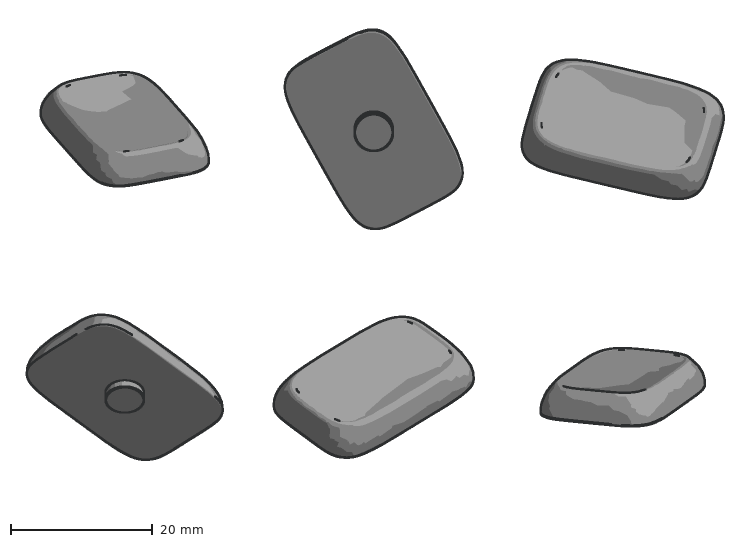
import cadquery as cq
import math

LENGTH = 26.97
WIDTH = 18.0
HEIGHT = 5.66

STEM_DIAMETER = 5.5
STEM_HEIGHT = 1.3
STEM_CHAMFER = 0.1

CAP_HEIGHT = HEIGHT - STEM_HEIGHT
BASE_EDGE = 0.27
DISH_EDGE_Z = 4.2
DISH_DEPTH = 0.73
CREASE_DIP = 0.15
CREST_DIP = 0.08

LOW_SIDE = (0.15, 1.62)
HIGH_SIDE = (0.55, 2.83)
CREASE = (1.21, 4.0)
CREST_INSET = 1.95

BASE_POWER = 5.3
SIDE_POWER = 4.7
CREASE_POWER = 4.0
CREST_POWER = 4.4
DISH_POWER = 5.0

CURVE_POINTS = 40
DISH_INSET = 2.48
DISH_RINGS = (0.3, 0.55, 0.8)
RING_POINTS = 16


def outline_point(angle, inset, z, power, dip=0.0):
    """Point of an inset superellipse that sags by dip at the middle of the long sides."""
    half_length = LENGTH / 2 - inset
    half_width = WIDTH / 2 - inset
    c = math.cos(angle)
    s = math.sin(angle)
    radius = (abs(c) ** power + abs(s) ** power) ** (-1 / power)
    x_share = radius * c
    y_share = radius * s
    sag = dip * (1 - x_share ** 2)
    return cq.Vector(half_length * x_share, half_width * y_share, z - sag)


def outline(inset, z, power, dip=0.0):
    """Closed smooth superellipse wire."""
    points = [
        outline_point(2 * math.pi * i / CURVE_POINTS, inset, z, power, dip)
        for i in range(CURVE_POINTS)
    ]
    return cq.Wire.assembleEdges([cq.Edge.makeSpline(points, periodic=True)])


def dish_face(border):
    """Concave top face: parabolic depth, measured inward from its border."""
    centre = cq.Vector(0, 0, DISH_EDGE_Z - DISH_DEPTH)
    points = [centre]
    for ring in DISH_RINGS:
        z = DISH_EDGE_Z - DISH_DEPTH * (1 - ring ** 2)
        for i in range(RING_POINTS):
            edge_point = outline_point(2 * math.pi * i / RING_POINTS, DISH_INSET, z, DISH_POWER)
            points.append(cq.Vector(edge_point.x * ring, edge_point.y * ring, z))
    return cq.Face.makeNSidedSurface(border.Edges(), points)


def side_faces(wires):
    """Faces of a loft through the wires, leaving out its flat ends."""
    return [face for face in cq.Solid.makeLoft(wires).Faces() if face.geomType() != "PLANE"]


def make_cap():
    """Sew the underside, rounded lower edge, side wall, rim and dish into a solid."""
    arc_offset = BASE_EDGE * (1 - math.sqrt(0.5))
    base = outline(BASE_EDGE, 0, BASE_POWER)
    base_round = outline(arc_offset, arc_offset, BASE_POWER)
    lower_edge = outline(0, BASE_EDGE, BASE_POWER)
    low_side = outline(*LOW_SIDE, BASE_POWER)
    high_side = outline(*HIGH_SIDE, SIDE_POWER)
    crease = outline(*CREASE, CREASE_POWER, CREASE_DIP)
    crest = outline(CREST_INSET, CAP_HEIGHT, CREST_POWER, CREST_DIP)
    dish_border = outline(DISH_INSET, DISH_EDGE_Z, DISH_POWER)

    faces = [cq.Face.makeFromWires(base), dish_face(dish_border)]
    faces += side_faces([base, base_round, lower_edge])
    faces += side_faces([lower_edge, low_side, high_side, crease])
    faces += side_faces([crease, crest, dish_border])
    return cq.Solid.makeSolid(cq.Shell.makeShell(faces))


def make_stem():
    return (
        cq.Workplane("XY")
        .circle(STEM_DIAMETER / 2)
        .extrude(-STEM_HEIGHT)
        .faces("<Z")
        .chamfer(STEM_CHAMFER)
    )


result = make_stem().union(cq.Workplane(make_cap()))